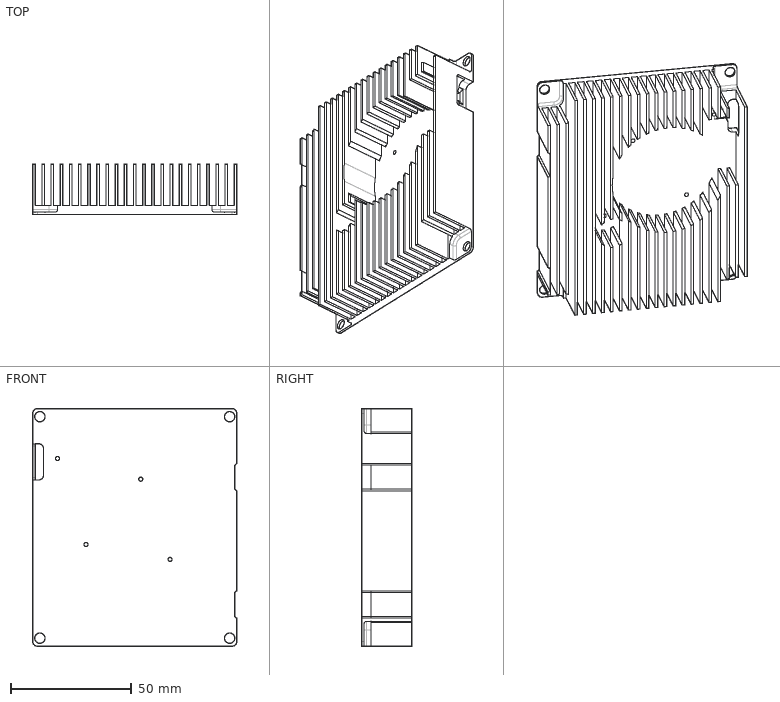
import cadquery as cq

WIDTH = 85.0
DEPTH = 21.0
HEIGHT = 99.0
OVERCUT = 1.0

BASE_THICKNESS = 3.9
PLATE_CORNER_RADIUS = 2.0
FIN_COUNT = 23
FIN_THICKNESS = 1.15
FIN_PITCH = (WIDTH - FIN_THICKNESS) / (FIN_COUNT - 1)

EAR_THICKNESS = 1.1
RELIEF_SIZE = 10.4
RELIEF_RADIUS = 3.5
RELIEF_FLOOR_RADIUS = 1.0
MOUNT_HOLE_DIAMETER = 4.2
MOUNT_INSET_X = 3.0
MOUNT_INSET_Z = 3.4

WINDOW_TOP = HEIGHT - 14.7
WINDOW_HEIGHT = 15.0
WINDOW_BASE_WIDTH = 4.5
WINDOW_BASE_RADIUS = 2.0
WINDOW_DEPTH = 9.0
WINDOW_FIN_RADIUS = 1.0

NOTCH_CENTRES = (HEIGHT - 28.6, HEIGHT - 81.6)
NOTCH_LENGTH = 11.4
NOTCH_DEPTH = 0.8
NOTCH_CHAMFER = 0.7

SCREW_HOLE_DIAMETER = 1.6
UPPER_LUG = (10.35, HEIGHT - 20.8)
LOWER_LUG = (57.2, HEIGHT - 62.8)
INNER_SCREWS = ((45.0, HEIGHT - 29.4), (22.2, HEIGHT - 56.6))
FAN_CENTRE = (33.6, HEIGHT - 40.7)
FAN_RADIUS = 24.0
LUG_RADIUS = 6.5

RECESS_WIDTH = 4.3
RECESS_FLOOR = 2.7
MOUTH_WIDTH = 7.8
MOUTH_FLOOR = 1.8
MOUTH_LENGTH = 0.9

CLEARED_FINS = 4
CABLE_SPACE_END = CLEARED_FINS * FIN_PITCH + FIN_THICKNESS + OVERCUT
CABLE_SPACE_BOTTOM = HEIGHT - 46.0


def block(x_range, y_range, z_range):
    """Box between two limits along each axis."""
    size = [high - low for low, high in (x_range, y_range, z_range)]
    return cq.Workplane("XY").box(*size, centered=False).translate((x_range[0], y_range[0], z_range[0]))


def cylinder_along_y(centre, radius, y_start, y_end):
    """Cylinder parallel to Y around an (X, Z) centre."""
    cylinder = cq.Workplane("XZ").circle(radius).extrude(-(y_end - y_start))
    return cylinder.translate((centre[0], y_start, centre[1]))


def finned_body():
    body = block((0, WIDTH), (0, BASE_THICKNESS), (0, HEIGHT))
    for index in range(FIN_COUNT):
        left = index * FIN_PITCH
        body = body.union(block((left, left + FIN_THICKNESS), (0, DEPTH), (0, HEIGHT)))
    return body


def corner_relief():
    """Cutter for the X = 0, Z = 0 corner."""
    cutter = block((-RELIEF_SIZE, RELIEF_SIZE), (EAR_THICKNESS, DEPTH + OVERCUT), (-RELIEF_SIZE, RELIEF_SIZE))
    return cutter.edges("|Y").fillet(RELIEF_RADIUS).faces("<Y").edges().fillet(RELIEF_FLOOR_RADIUS)


def cut_corners(body):
    relief = corner_relief()
    for x_corner in (0, WIDTH):
        for z_corner in (0, HEIGHT):
            body = body.cut(relief.translate((x_corner, 0, z_corner)))
    for x in (MOUNT_INSET_X, WIDTH - MOUNT_INSET_X):
        for z in (MOUNT_INSET_Z, HEIGHT - MOUNT_INSET_Z):
            body = body.cut(cylinder_along_y((x, z), MOUNT_HOLE_DIAMETER / 2, -OVERCUT, DEPTH))
    outline = block((0, WIDTH), (0, DEPTH), (0, HEIGHT)).edges("|Y").fillet(PLATE_CORNER_RADIUS)
    return body.intersect(outline)


def cut_window(body):
    z_range = (WINDOW_TOP - WINDOW_HEIGHT, WINDOW_TOP)
    through_base = block((-OVERCUT, WINDOW_BASE_WIDTH), (-OVERCUT, BASE_THICKNESS), z_range)
    through_base = through_base.edges("|Y and >X").fillet(WINDOW_BASE_RADIUS)
    through_fin = block((-OVERCUT, FIN_THICKNESS), (-OVERCUT, WINDOW_DEPTH), z_range)
    through_fin = through_fin.edges("|X and >Y").fillet(WINDOW_FIN_RADIUS)
    return body.cut(through_base).cut(through_fin)


def cut_notches(body):
    for centre in NOTCH_CENTRES:
        z_range = (centre - NOTCH_LENGTH / 2, centre + NOTCH_LENGTH / 2)
        notch = block((WIDTH - NOTCH_DEPTH, WIDTH), (-OVERCUT, DEPTH + OVERCUT), z_range)
        body = body.cut(notch.edges("|Y and <X").chamfer(NOTCH_CHAMFER))
    return body


def cut_fan_space(body):
    top = DEPTH + OVERCUT
    body = body.cut(cylinder_along_y(FAN_CENTRE, FAN_RADIUS, BASE_THICKNESS, top))
    for lug in (UPPER_LUG, LOWER_LUG):
        body = body.cut(cylinder_along_y(lug, LUG_RADIUS, BASE_THICKNESS, top))
    for centre in (UPPER_LUG, LOWER_LUG) + INNER_SCREWS:
        body = body.cut(cylinder_along_y(centre, SCREW_HOLE_DIAMETER / 2, -OVERCUT, top))
    return body


def cut_cable_space(body):
    y_range = (BASE_THICKNESS, DEPTH + OVERCUT)
    body = body.cut(block((FIN_THICKNESS, CABLE_SPACE_END), y_range, (CABLE_SPACE_BOTTOM, WINDOW_TOP)))
    second_fin = (FIN_PITCH, FIN_PITCH + FIN_THICKNESS)
    return body.cut(block(second_fin, y_range, (WINDOW_TOP, HEIGHT)))


def cut_lug_recess(body):
    x_wall = WINDOW_BASE_WIDTH
    x_throat = x_wall + MOUTH_LENGTH
    x_lug, z_lug = UPPER_LUG
    mouth_depth = BASE_THICKNESS - MOUTH_FLOOR
    throat_depth = BASE_THICKNESS - RECESS_FLOOR
    mouth = (
        cq.Workplane("YZ", origin=(x_wall, 0, z_lug))
        .center(BASE_THICKNESS - mouth_depth / 2, 0)
        .rect(mouth_depth, MOUTH_WIDTH)
        .workplane(offset=MOUTH_LENGTH)
        .center((mouth_depth - throat_depth) / 2, 0)
        .rect(throat_depth, RECESS_WIDTH)
        .loft(ruled=True)
    )
    ramp = (
        cq.Workplane("XY", origin=(0, 0, z_lug - RECESS_WIDTH / 2))
        .polyline([(x_throat, RECESS_FLOOR), (x_lug, BASE_THICKNESS), (x_throat, BASE_THICKNESS)])
        .close()
        .extrude(RECESS_WIDTH)
    )
    return body.cut(mouth).cut(ramp)


result = cut_corners(finned_body())
result = cut_window(result)
result = cut_notches(result)
result = cut_fan_space(result)
result = cut_cable_space(result)
result = cut_lug_recess(result)